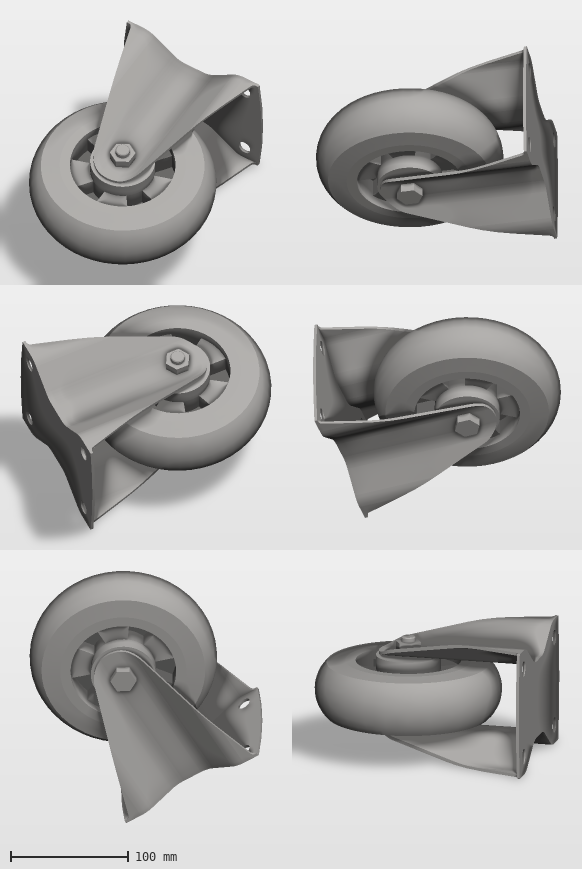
import cadquery as cq
import math


plate_face_y = 115.0
sheet = 2.5
plate_mid_half_width = 69.5
plate_end_half_width = 65.9
plate_corner_radius = 0.8
plate_root_y = plate_face_y - sheet
leg_tip_radius = 25.1
leg_taper = math.radians(17.2)
leg_root_fillet = 4.0

crest_z = 55.0
valley_z = 33.7
valley_half_width = 8.5
bend_radius = 19.7
inner_crest_radius = 11.7
channel_slope = math.radians(35.5)

slot_spacing_x = 104.9
slot_spacing_z = 77.4
slot_length = 13.5
slot_width = 11.1

wheel_radius = 80.0
shoulder_radius = 69.8
shoulder_z = 23.2
side_z = 25.0
side_flat_radius = 53.8
recess_radius = 45.0
hub_radius = 55.5 / 2
hub_z = 30.0
hub_core_radius = 27.3
collar_z = 17.5
block_z = 16.8
web_z = 1.2
block_count = 5
block_overlap = 1.2

washer_radius = 20.0 / 2
hex_across_flats = 19.1
hex_height = 7.8
bolt_radius = 6.0
bolt_tip_z = 46.0
bolt_chamfer = 0.8


def polar(center, radius, angle):
    return (center[0] + radius * math.cos(angle), center[1] + radius * math.sin(angle))


def channel_curve(depth, crest_radius):
    """Points of the right half of the channel, `depth` below the outer surface, from the outside in.

    `crest_radius` is the radius of the bend beside the channel.
    """
    bend_rise = bend_radius * (1 - math.cos(channel_slope))
    slope_rise = crest_z - valley_z - 2 * bend_rise
    slope_run = slope_rise / math.tan(channel_slope)
    crest_x = valley_half_width + 2 * bend_radius * math.sin(channel_slope) + slope_run
    crest_center = (crest_x, crest_z - bend_radius)
    tightening = (bend_radius - depth - crest_radius) / math.cos(channel_slope / 2)
    valley_center = (valley_half_width, valley_z + bend_radius)
    up = math.pi / 2
    crest_center = polar(crest_center, tightening, up + channel_slope / 2)
    crest = [polar(crest_center, crest_radius, up + channel_slope * part) for part in (0, 0.5, 1)]
    valley = [polar(valley_center, bend_radius + depth, -up + channel_slope * part) for part in (1, 0.5, 0)]
    return crest + valley


def mirror_x(points):
    return [(-x, z) for x, z in reversed(points)]


def trace_channel(sketch, points, end):
    """Continue `sketch` along one half channel and finish at `end`."""
    first_start, first_mid, first_end, second_start, second_mid, second_end = points
    return (
        sketch.lineTo(*first_start).threePointArc(first_mid, first_end)
        .lineTo(*second_start).threePointArc(second_mid, second_end)
        .lineTo(*end)
    )


def plate_plane(y):
    """Sketch plane facing -Y with local axes X and Z."""
    return cq.Workplane("XZ", origin=(0, y, 0))


def leg_sheet():
    """Upper channelled sheet, not yet trimmed to the leg outline."""
    side_x = plate_mid_half_width
    outer = channel_curve(0, bend_radius)
    inner = channel_curve(sheet, inner_crest_radius)
    sketch = plate_plane(plate_face_y).moveTo(side_x, crest_z)
    sketch = trace_channel(sketch, outer, (0, valley_z))
    sketch = trace_channel(sketch, mirror_x(outer), (-side_x, crest_z))
    sketch = sketch.lineTo(-side_x, crest_z - sheet)
    inner_from_left = mirror_x(inner)
    sketch = trace_channel(sketch, inner_from_left[::-1], (0, valley_z - sheet))
    sketch = trace_channel(sketch, inner[::-1], (side_x, crest_z - sheet))
    return sketch.close().extrude(plate_face_y + leg_tip_radius)


def leg_outline():
    """Tapered leg shape in the XY plane, as a block of full fork height."""
    tangent_x = leg_tip_radius * math.cos(leg_taper)
    tangent_y = -leg_tip_radius * math.sin(leg_taper)
    root_x = tangent_x + (plate_root_y - tangent_y) * math.tan(leg_taper)
    run_out = leg_root_fillet * math.tan((math.pi / 2 - leg_taper) / 2)
    foot_x = root_x + run_out
    side_x = root_x - run_out * math.sin(leg_taper)
    side_y = plate_root_y - run_out * math.cos(leg_taper)
    fillet_center = (foot_x, plate_root_y - leg_root_fillet)
    fillet_mid = polar(fillet_center, leg_root_fillet, (math.pi + math.pi / 2 - leg_taper) / 2)
    return (
        cq.Workplane("XY", origin=(0, 0, -crest_z))
        .moveTo(-foot_x, plate_face_y).lineTo(foot_x, plate_face_y)
        .lineTo(foot_x, plate_root_y).threePointArc(fillet_mid, (side_x, side_y))
        .lineTo(tangent_x, tangent_y)
        .threePointArc((0, -leg_tip_radius), (-tangent_x, tangent_y))
        .lineTo(-side_x, side_y)
        .threePointArc((-fillet_mid[0], fillet_mid[1]), (-foot_x, plate_root_y))
        .close().extrude(2 * crest_z)
    )


def fork_legs():
    upper = leg_sheet().intersect(leg_outline())
    return upper.union(upper.mirror("XY"))


def mounting_plate():
    """Plate whose top and bottom edges follow the channel and whose sides are bowed."""
    outer = channel_curve(0, bend_radius)
    lower = [(x, -z) for x, z in outer]
    end_x = plate_end_half_width
    sketch = plate_plane(plate_face_y).moveTo(end_x, crest_z)
    sketch = trace_channel(sketch, outer, (0, valley_z))
    sketch = trace_channel(sketch, mirror_x(outer), (-end_x, crest_z))
    sketch = sketch.threePointArc((-plate_mid_half_width, 0), (-end_x, -crest_z))
    sketch = trace_channel(sketch, mirror_x(lower)[::-1], (0, -valley_z))
    sketch = trace_channel(sketch, lower[::-1], (end_x, -crest_z))
    sketch = sketch.threePointArc((plate_mid_half_width, 0), (end_x, crest_z))
    plate = sketch.close().extrude(sheet)
    plate = plate.edges("|Y").edges("<Z or >Z").edges("<X or >X").fillet(plate_corner_radius)
    slots = (
        plate_plane(plate_face_y)
        .rarray(slot_spacing_x, slot_spacing_z, 2, 2)
        .slot2D(slot_length, slot_width, 90)
        .extrude(sheet)
    )
    return plate.cut(slots)


def wheel_body():
    """Tyre, recessed web and hub, turned about the wheel axis."""
    return (
        cq.Workplane("XZ")
        .moveTo(0, -hub_z).lineTo(hub_radius, -hub_z)
        .lineTo(hub_radius, -collar_z).lineTo(hub_core_radius, -collar_z)
        .lineTo(hub_core_radius, -web_z).lineTo(recess_radius, -web_z)
        .lineTo(recess_radius, -side_z).lineTo(side_flat_radius, -side_z)
        .lineTo(shoulder_radius, -shoulder_z)
        .threePointArc((wheel_radius, 0), (shoulder_radius, shoulder_z))
        .lineTo(side_flat_radius, side_z).lineTo(recess_radius, side_z)
        .lineTo(recess_radius, web_z).lineTo(hub_core_radius, web_z)
        .lineTo(hub_core_radius, collar_z).lineTo(hub_radius, collar_z)
        .lineTo(hub_radius, hub_z).lineTo(0, hub_z)
        .close().revolve(360, (0, 0, 0), (0, 1, 0))
    )


def recess_blocks():
    """Wedge blocks between hub and tyre, one of them centred on +X."""
    half_angle = math.pi / (2 * block_count)
    apex = (-block_overlap / math.sin(half_angle), 0)
    reach = 2 * recess_radius
    wedge = (
        cq.Workplane("XY", origin=(0, 0, -block_z))
        .polyline([apex, polar(apex, reach, -half_angle), polar(apex, reach, half_angle)])
        .close().extrude(2 * block_z)
    )
    ring = (
        cq.Workplane("XY", origin=(0, 0, -block_z))
        .circle(recess_radius).circle(hub_core_radius).extrude(2 * block_z)
    )
    block = wedge.intersect(ring)
    blocks = block
    for index in range(1, block_count):
        blocks = blocks.union(block.rotate((0, 0, 0), (0, 0, 1), index * 360 / block_count))
    return blocks


def hexagon(bottom_z):
    """Nut or bolt head with two flats facing +X and -X."""
    across_corners = hex_across_flats / math.cos(math.pi / 6)
    return (
        cq.Workplane("XY", origin=(0, 0, bottom_z))
        .polygon(6, across_corners).extrude(hex_height)
        .rotate((0, 0, 0), (0, 0, 1), 30)
    )


def axle():
    """Washers between hub and legs, nut on top, bolt head below and the bolt tip above the nut."""
    washer_z = valley_z - sheet
    washers = cq.Workplane("XY", origin=(0, 0, -washer_z)).circle(washer_radius).extrude(2 * washer_z)
    tip = (
        cq.Workplane("XY").circle(bolt_radius).extrude(bolt_tip_z)
        .faces(">Z").chamfer(bolt_chamfer)
    )
    return washers.union(tip).union(hexagon(valley_z)).union(hexagon(-valley_z - hex_height))


wheel = wheel_body().union(recess_blocks())
fork = fork_legs().union(mounting_plate())
result = wheel.union(axle()).union(fork)